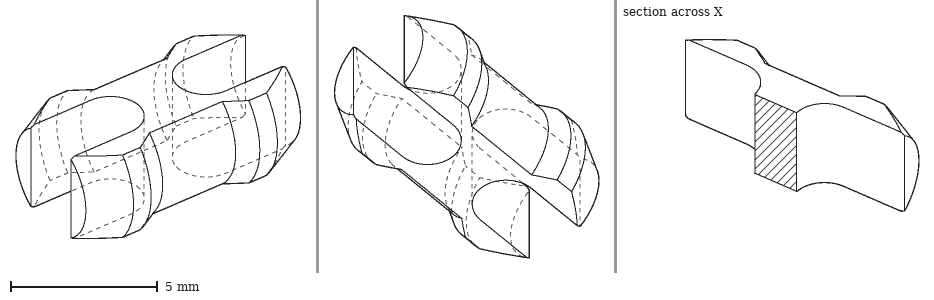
import cadquery as cq

width = 5.4
length = 9.1
thickness = 3.45

collar_radius = width / 2
neck_radius = 2.34
tip_radius = 2.0

half_length = length / 2
neck_half_length = 1.55
collar_inner_y = 2.3
collar_outer_y = 3.05

slot_width = 2.29
slot_radius = slot_width / 2
web_thickness = 1.75
slot_center_y = web_thickness / 2 + slot_radius


def turned_body():
    """Solid of revolution about Y: a neck between two tapered collars."""
    upper_half = [
        (neck_radius, neck_half_length),
        (collar_radius, collar_inner_y),
        (collar_radius, collar_outer_y),
        (tip_radius, half_length),
    ]
    lower_half = [(radius, -y) for radius, y in reversed(upper_half)]
    outline = [(0, -half_length)] + lower_half + upper_half + [(0, half_length)]
    return cq.Workplane("XY").polyline(outline).close().revolve(360, (0, 0, 0), (0, 1, 0))


def end_slot(side):
    """Slot through Z, open at the end on the given side of Y (+1 or -1)."""
    straight_length = half_length - slot_center_y
    straight = (
        cq.Workplane("XY", origin=(0, 0, -thickness / 2))
        .center(0, side * (slot_center_y + straight_length / 2))
        .rect(slot_width, straight_length)
        .extrude(thickness)
    )
    round_bottom = (
        cq.Workplane("XY", origin=(0, 0, -thickness / 2))
        .center(0, side * slot_center_y)
        .circle(slot_radius)
        .extrude(thickness)
    )
    return straight.union(round_bottom)


flat_slab = cq.Workplane("XY").box(width, length, thickness)
result = turned_body().intersect(flat_slab)

for side in (1, -1):
    result = result.cut(end_slot(side))